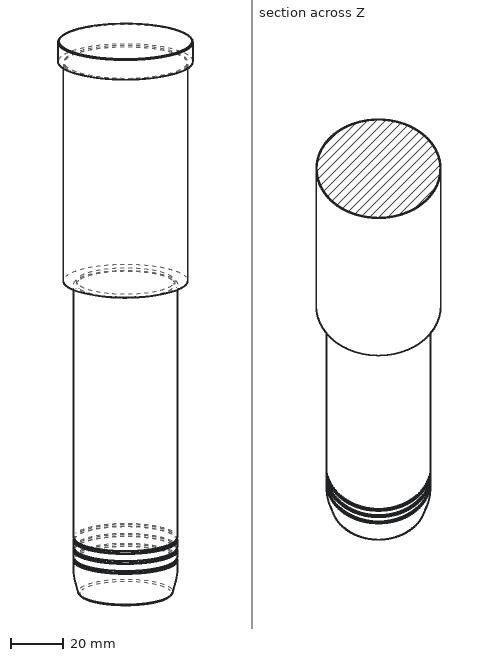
import cadquery as cq

total_length = 220.0
head_height = 8.1
shoulder_z = 124.5
nose_length = 8.5

head_diameter = 52.0
body_diameter = 48.0
shank_diameter = 40.0
tip_diameter = 35.2

head_chamfer = 0.5
tip_chamfer = 0.7
nose_bulge = 0.2

head_relief_width = 0.7
head_relief_depth = 0.2
neck_width = 1.3
neck_depth = 1.0

groove_count = 3
groove_pitch = 4.0
groove_width = 1.3
groove_floor_width = 0.7
groove_depth = 0.5
lowest_groove_z = 13.9

head_bottom_z = total_length - head_height
head_radius = head_diameter / 2
body_radius = body_diameter / 2
shank_radius = shank_diameter / 2
tip_radius = tip_diameter / 2


def cylinder(radius, bottom_z, top_z):
    """Solid cylinder on the Z axis between two heights."""
    return cq.Workplane("XY").workplane(offset=bottom_z).circle(radius).extrude(top_z - bottom_z)


def revolve_about_z(profile):
    """Turn a closed profile in the XZ plane around the Z axis."""
    return profile.revolve(360, (0, 0, 0), (0, 1, 0))


def shank_with_nose():
    """Straight shank with a rounded lead-in, ending in a flat tip with a small chamfer."""
    nose_end_radius = tip_radius + tip_chamfer
    nose_middle_radius = (shank_radius + nose_end_radius) / 2 + nose_bulge
    nose_middle_z = (nose_length + tip_chamfer) / 2
    profile = (
        cq.Workplane("XZ")
        .lineTo(tip_radius, 0)
        .lineTo(nose_end_radius, tip_chamfer)
        .threePointArc((nose_middle_radius, nose_middle_z), (shank_radius, nose_length))
        .lineTo(shank_radius, shoulder_z)
        .lineTo(0, shoulder_z)
        .close()
    )
    return revolve_about_z(profile)


def step_relief(surface_radius, depth, top_z, width):
    """Ring that cuts a square relief into a cylinder, directly below a step."""
    bottom_z = top_z - width
    return cylinder(surface_radius, bottom_z, top_z).cut(cylinder(surface_radius - depth, bottom_z, top_z))


def ring_groove(center_z):
    """Ring that cuts a groove with sloping sides and a narrow flat floor into the shank."""
    floor_radius = shank_radius - groove_depth
    half_width = groove_width / 2
    half_floor = groove_floor_width / 2
    profile = (
        cq.Workplane("XZ")
        .moveTo(shank_radius, center_z - half_width)
        .lineTo(floor_radius, center_z - half_floor)
        .lineTo(floor_radius, center_z + half_floor)
        .lineTo(shank_radius, center_z + half_width)
        .close()
    )
    return revolve_about_z(profile)


head = cylinder(head_radius, head_bottom_z, total_length).faces(">Z").edges().chamfer(head_chamfer)
body = cylinder(body_radius, shoulder_z, head_bottom_z)
result = shank_with_nose().union(body).union(head)

result = result.cut(step_relief(body_radius, head_relief_depth, head_bottom_z, head_relief_width))
result = result.cut(step_relief(shank_radius, neck_depth, shoulder_z, neck_width))

for index in range(groove_count):
    result = result.cut(ring_groove(lowest_groove_z + index * groove_pitch))